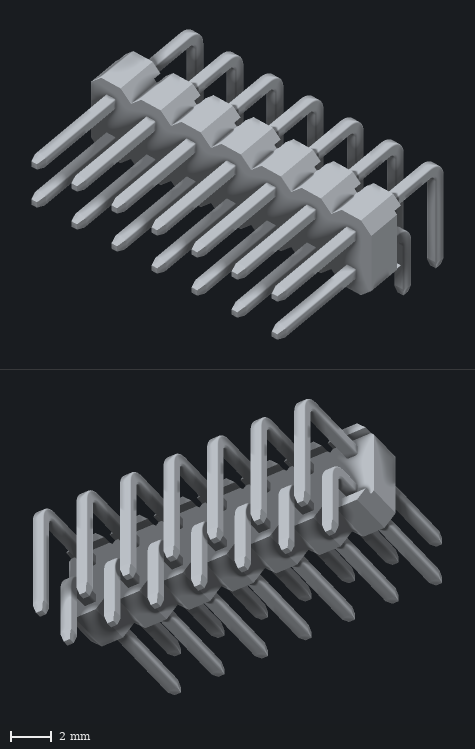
import cadquery as cq
import math

module_count = 7
row_length = 17.78
pitch = row_length / module_count

housing_height = 5.0
housing_depth = 2.5
housing_bevel = 0.65
foot_depth = 0.5
foot_height = 0.5

pin_width = 0.64
pin_edge_radius = 0.1
pin_front_reach = 6.0
bend_radius = 0.8
tip_length = 0.55
tip_inset = 0.15

total_depth = 12.87
total_height = 8.0
tip_front = -pin_front_reach
tip_bottom = housing_height / 2 - total_height
long_leg_y = total_depth - pin_front_reach - pin_width / 2
short_leg_y = long_leg_y - pitch
upper_pin_z = pitch / 2
lower_pin_z = -pitch / 2


def rounded_square(plane):
    """Pin cross-section: a square with its four corners rounded."""
    return cq.Workplane(plane).sketch().rect(pin_width, pin_width).vertices().fillet(pin_edge_radius).finalize()


def make_tip(plane):
    """Pin end along the plane normal: four flat tapers that run out the rounded edges."""
    taper_angle = math.degrees(math.atan2(tip_inset, tip_length))
    straight_end = rounded_square(plane).extrude(tip_length)
    square_taper = cq.Workplane(plane).rect(pin_width, pin_width).extrude(tip_length, taper=taper_angle)
    return straight_end.intersect(square_taper)


def make_pin(leg_y, arm_z):
    """Right-angle pin: a horizontal arm, a round bend and a vertical leg, both ends tapered."""
    arm_start = (tip_front + tip_length, arm_z)
    leg_end = (leg_y, tip_bottom + tip_length)
    bend_start = (leg_y - bend_radius, arm_z)
    bend_end = (leg_y, arm_z - bend_radius)
    path = (
        cq.Workplane("YZ")
        .moveTo(*arm_start)
        .lineTo(*bend_start)
        .tangentArcPoint(bend_end, relative=False)
        .lineTo(*leg_end)
    )
    arm_plane = cq.Plane(origin=(0, *arm_start), xDir=(1, 0, 0), normal=(0, 1, 0))
    arm_tip_plane = cq.Plane(origin=(0, *arm_start), xDir=(1, 0, 0), normal=(0, -1, 0))
    leg_tip_plane = cq.Plane(origin=(0, *leg_end), xDir=(1, 0, 0), normal=(0, 0, -1))
    bent_wire = rounded_square(arm_plane).sweep(path)
    return bent_wire.union(make_tip(arm_tip_plane)).union(make_tip(leg_tip_plane))


def make_housing():
    """Bevelled block with a channel across its back that leaves a foot at the top and the bottom."""
    block = (
        cq.Workplane("XY")
        .box(pitch, housing_depth, housing_height, centered=(True, False, True))
        .edges("|Y")
        .chamfer(housing_bevel)
    )
    channel = (
        cq.Workplane("XY")
        .box(pitch, foot_depth, housing_height - 2 * foot_height, centered=(True, False, True))
        .translate((0, housing_depth - foot_depth, 0))
    )
    return block.cut(channel)


def make_module():
    """One header position: housing block and its two pins as a single solid."""
    long_pin = make_pin(long_leg_y, upper_pin_z)
    short_pin = make_pin(short_leg_y, lower_pin_z)
    return make_housing().union(long_pin).union(short_pin)


module = make_module()
modules = []
for index in range(module_count):
    module_x = (index - (module_count - 1) / 2) * pitch
    modules.append(module.translate((module_x, 0, 0)).val())

result = cq.Compound.makeCompound(modules)